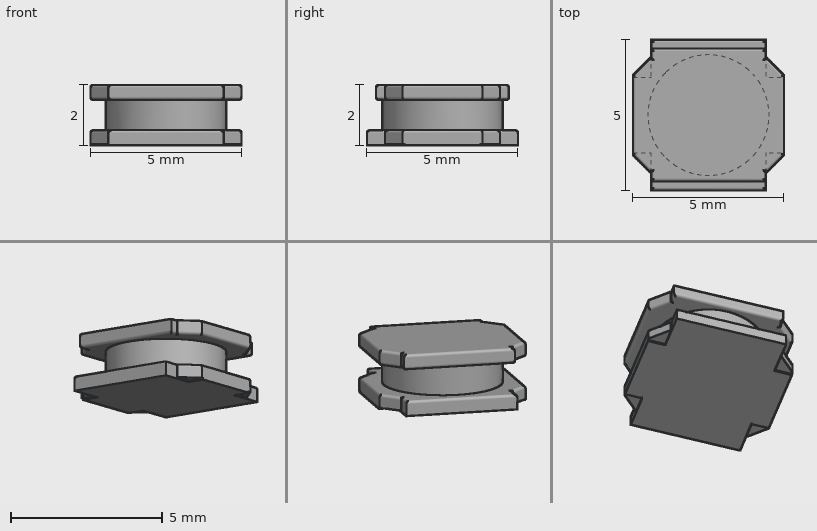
import cadquery as cq

length = 5.0
height = 2.0
flange_thickness = 0.5
core_diameter = 4.0
top_flange_depth = 4.4
edge_radius = 0.1

notch = 0.6
bevel = 0.58

relief_depth = 1.25
relief_height = 0.05

half_length = length / 2
tab_half_width = half_length - notch


def flange(depth, z_bottom):
    """Plate with a tab at each Y end and bevelled corners beside the tabs."""
    shoulder = half_length - notch
    corner = [
        (half_length, shoulder - bevel),
        (half_length - bevel, shoulder),
        (tab_half_width, shoulder),
        (tab_half_width, depth / 2),
    ]
    back_half = corner + [(-x, y) for x, y in reversed(corner)]
    front_half = [(-x, -y) for x, y in back_half]
    outline = cq.Workplane("XY").workplane(offset=z_bottom).polyline(back_half + front_half)
    return outline.close().extrude(flange_thickness)


def corner_reliefs():
    """Four shallow blocks that leave a straight foot under each end of the base."""
    corners = [(x, y) for x in (-1, 1) for y in (-1, 1)]
    centers = [
        (x * (half_length - notch / 2), y * (half_length - relief_depth / 2))
        for x, y in corners
    ]
    return cq.Workplane("XY").pushPoints(centers).rect(notch, relief_depth).extrude(relief_height)


base = flange(length, 0).faces(">Z").edges().fillet(edge_radius)
base = base.cut(corner_reliefs())

top_flange_bottom = height - flange_thickness
top = flange(top_flange_depth, top_flange_bottom)
top = top.faces("<Z or >Z").edges().fillet(edge_radius)

core = cq.Workplane("XY").workplane(offset=flange_thickness).circle(core_diameter / 2)
core = core.extrude(top_flange_bottom - flange_thickness)

result = base.union(core).union(top)